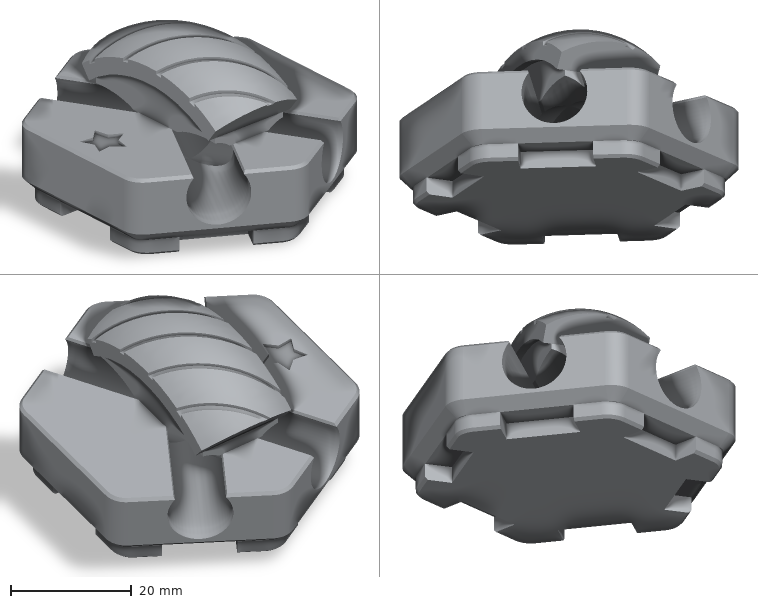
import cadquery as cq
import math

BASE_ACROSS_FLATS = 50.0
BASE_TOP = 15.05
CORNER_RADIUS = 4.0
BODY_BOTTOM = 2.9
LOWER_CHAMFER = 2.05
TOP_CHAMFER = 0.5

FOOT_ACROSS_FLATS = 46.1
FOOT_CHAMFER = 0.5
FOOT_GAP_WIDTH = 12.55
FOOT_GAP_DEPTH = 4.7

CHANNEL_RADIUS = 5.5
CHANNEL_AXIS_Z = 11.1
CHANNEL_ANGLES = (30, -30)
CHANNEL_CHAMFER = 0.7

STAR_POINTS = 5
STAR_OUTER_RADIUS = 4.2
STAR_INNER_RADIUS = 2.25
STAR_CENTER_Y = -18.65
STAR_DEPTH = 0.7

TOTAL_HEIGHT = 28.5
TREAD_OUTER_RADIUS = 31.0
TREAD_INNER_RADIUS = 25.0
TREAD_WIDTH = 17.95
TREAD_CROWN_RADIUS = 15.0
SADDLE_LENGTH = 30.0
SADDLE_WIDTH = 15.05
TREAD_AXIS_Z = TOTAL_HEIGHT - TREAD_OUTER_RADIUS
TREAD_HALF_ANGLE = math.degrees(math.asin(SADDLE_LENGTH / 2 / TREAD_INNER_RADIUS))

GROOVE_COUNT = 5
GROOVE_WIDTH = 1.0
GROOVE_DEPTH = 0.5
GROOVE_PITCH = 8.35
GROOVE_ANGLE = 55
GROOVE_SHIFT = 0.4

HEX_SIDES = 6
OVERCUT = 56.5


def rounded_hexagon(across_flats, bottom, top):
    """Hexagonal prism with two flats facing +Y and -Y and rounded upright edges."""
    circumscribed_diameter = across_flats / math.cos(math.pi / HEX_SIDES)
    return (
        cq.Workplane("XY", origin=(0, 0, bottom))
        .polygon(HEX_SIDES, circumscribed_diameter)
        .extrude(top - bottom)
        .edges("|Z")
        .fillet(CORNER_RADIUS)
    )


def make_channels():
    """Two horizontal cylinders, each square to a pair of slanted hexagon flats."""
    cylinder = (
        cq.Workplane("YZ", origin=(0, 0, CHANNEL_AXIS_Z)).circle(CHANNEL_RADIUS).extrude(OVERCUT, both=True)
    )
    first, second = [cylinder.rotate((0, 0, 0), (0, 0, 1), angle) for angle in CHANNEL_ANGLES]
    return first.union(second)


def make_foot_plate():
    """Plate under the body, notched at each flat so that a foot is left at each corner."""
    plate = rounded_hexagon(FOOT_ACROSS_FLATS, 0, BODY_BOTTOM).faces("<Z").chamfer(FOOT_CHAMFER)
    gap = cq.Workplane("XY", origin=(0, FOOT_ACROSS_FLATS / 2, 0)).box(
        FOOT_GAP_WIDTH, 2 * FOOT_GAP_DEPTH, BODY_BOTTOM, centered=(True, True, False)
    )
    for side in range(HEX_SIDES):
        plate = plate.cut(gap.rotate((0, 0, 0), (0, 0, 1), side * 360 / HEX_SIDES))
    return plate


def make_star():
    """Star-shaped prism reaching down from the top of the base, one point toward +Y."""
    corners = []
    for index in range(2 * STAR_POINTS):
        radius = STAR_INNER_RADIUS if index % 2 else STAR_OUTER_RADIUS
        angle = math.pi / 2 + index * math.pi / STAR_POINTS
        corners.append((radius * math.cos(angle), radius * math.sin(angle)))
    return cq.Workplane("XY", origin=(0, STAR_CENTER_Y, BASE_TOP)).polyline(corners).close().extrude(-STAR_DEPTH)


def channel_lip_selector():
    """Selector for straight edges that run along either channel."""
    first, second = [
        cq.selectors.ParallelDirSelector(cq.Vector(math.cos(angle), math.sin(angle), 0))
        for angle in map(math.radians, CHANNEL_ANGLES)
    ]
    return first + second


def make_base():
    """Chamfered hexagonal body with channels and star pocket, standing on its foot plate."""
    body = rounded_hexagon(BASE_ACROSS_FLATS, BODY_BOTTOM, BASE_TOP)
    body = body.faces("<Z").chamfer(LOWER_CHAMFER)
    body = body.cut(make_channels())
    lips = channel_lip_selector()
    body = body.faces(">Z").edges(-lips).chamfer(TOP_CHAMFER)
    body = body.faces(">Z").edges(lips).chamfer(CHANNEL_CHAMFER)
    return body.cut(make_star()).union(make_foot_plate())


def make_saddle():
    """Block on the base whose top is rounded to carry the tread, hollowed by the channels."""
    block = cq.Workplane("XY", origin=(0, 0, BASE_TOP)).box(
        SADDLE_LENGTH, SADDLE_WIDTH, TOTAL_HEIGHT - BASE_TOP, centered=(True, True, False)
    )
    seat = (
        cq.Workplane("XZ", origin=(0, 0, TREAD_AXIS_Z)).circle(TREAD_INNER_RADIUS).extrude(SADDLE_WIDTH, both=True)
    )
    return block.intersect(seat).cut(make_channels())


def crowned_sector(crown_depth=0):
    """Sector about the tread axis, from the seat radius out to the crown or a surface below it."""
    half_width = TREAD_WIDTH / 2
    crown_center = TREAD_OUTER_RADIUS - TREAD_CROWN_RADIUS
    crown_radius = TREAD_CROWN_RADIUS - crown_depth
    edge_radius = crown_center + math.sqrt(crown_radius**2 - half_width**2)
    return (
        cq.Workplane("YZ")
        .moveTo(-half_width, TREAD_INNER_RADIUS)
        .lineTo(-half_width, edge_radius)
        .threePointArc((0, crown_center + crown_radius), (half_width, edge_radius))
        .lineTo(half_width, TREAD_INNER_RADIUS)
        .close()
        .revolve(2 * TREAD_HALF_ANGLE, (0, 0, 0), (1, 0, 0))
        .rotate((0, 0, 0), (0, 1, 0), -TREAD_HALF_ANGLE)
        .translate((0, 0, TREAD_AXIS_Z))
    )


def make_tread():
    """Crowned arc with slanted grooves of even depth across its outer surface."""
    tread = crowned_sector()
    core = crowned_sector(GROOVE_DEPTH)
    middle_groove = (GROOVE_COUNT - 1) / 2
    for index in range(GROOVE_COUNT):
        groove = (
            cq.Workplane("XY")
            .box(OVERCUT, GROOVE_WIDTH, OVERCUT)
            .rotate((0, 0, 0), (0, 0, 1), GROOVE_ANGLE)
            .translate((GROOVE_SHIFT + (index - middle_groove) * GROOVE_PITCH, 0, TOTAL_HEIGHT))
        )
        tread = tread.cut(groove.cut(core))
    return tread


base = make_base()
saddle = make_saddle()
tread = make_tread()
result = cq.Compound.makeCompound([base.val(), saddle.val(), tread.val()])